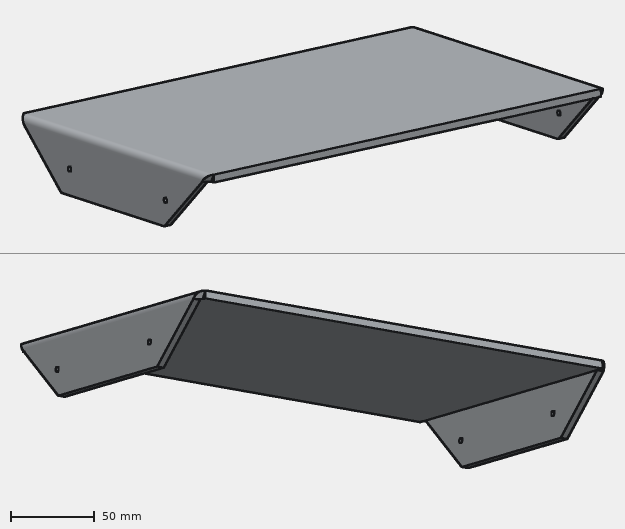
import cadquery as cq
import math

width = 178.0
length = 310.0
height = 40.0

thickness = 5.0
panel_length = length - 2 * thickness

bend_inset = 5.3
flange_top_width = width - 2 * bend_inset
flange_bottom_width = 96.7
flange_height = height - thickness

hole_diameter = 3.0
hole_spacing = 90.0
hole_middle_x = 4.3
hole_depth_below_top = 23.5


def trapezoid(plane, top_width, bottom_width, drop):
    """Symmetric trapezoid whose top edge is centred on the plane's origin."""
    return (
        cq.Workplane(plane)
        .moveTo(-top_width / 2, 0)
        .lineTo(top_width / 2, 0)
        .lineTo(bottom_width / 2, -drop)
        .lineTo(-bottom_width / 2, -drop)
        .close()
    )


def flat_panel():
    """Full-width sheet between the bends, with its top face at Z = 0."""
    return cq.Workplane("XY").box(width, panel_length, thickness).translate((0, 0, -thickness / 2))


def front_bend():
    """Quarter-round bend at the -Y end, mitred by a plane at each end."""
    quarter_round = (
        cq.Workplane("YZ", origin=(-width / 2, -panel_length / 2, -thickness))
        .lineTo(0, thickness)
        .radiusArc((-thickness, 0), -thickness)
        .close()
        .extrude(width)
    )
    mitre_plane = cq.Plane(origin=(0, -panel_length / 2, 0), xDir=(1, 0, 0), normal=(0, -1, 1))
    mitre_drop = math.sqrt(2) * thickness
    mitre = trapezoid(mitre_plane, width, flange_top_width, mitre_drop).extrude(2 * thickness, both=True)
    return quarter_round.intersect(mitre)


def front_flange():
    """Tapered flange hanging below the bend at the -Y end."""
    flange_plane = cq.Plane(origin=(0, -panel_length / 2, -thickness), xDir=(1, 0, 0), normal=(0, -1, 0))
    return trapezoid(flange_plane, flange_top_width, flange_bottom_width, flange_height).extrude(thickness)


def screw_holes():
    """Two cylinders running along Y through both flanges."""
    hole_xs = [hole_middle_x + side * hole_spacing / 2 for side in (-1, 1)]
    return (
        cq.Workplane("XZ")
        .pushPoints([(x, -hole_depth_below_top) for x in hole_xs])
        .circle(hole_diameter / 2)
        .extrude(length, both=True)
    )


front_end = front_bend().union(front_flange())
back_end = front_end.mirror("XZ")
result = flat_panel().union(front_end).union(back_end).cut(screw_holes())